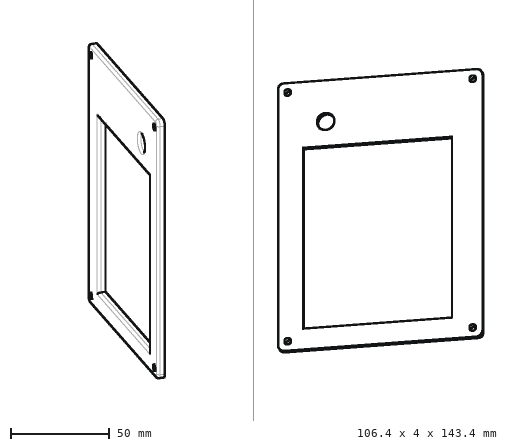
import cadquery as cq

width = 106.4
thickness = 4.0
height = 143.4
corner_radius = 3.0
edge_round = 1.5

window_width = 77.6
window_height = 97.0
window_center_x = 1.5
window_center_z = -12.0

screw_hole_diameter = 3.5
screw_hole_margin = 5.0

button_hole_diameter = 9.0
button_hole_x = 28.4
button_hole_z = 49.6

front_y = -thickness / 2


def front_plane():
    """Sketch plane on the front face, with local x, y along X, Z."""
    return cq.Workplane("XZ", origin=(0, front_y, 0))


def make_plate():
    plate = front_plane().rect(width, height).extrude(-thickness)
    return plate.edges("|Y").fillet(corner_radius)


def make_window():
    window = front_plane().center(window_center_x, window_center_z)
    return window.rect(window_width, window_height).extrude(-thickness)


def make_button_hole():
    hole = front_plane().center(button_hole_x, button_hole_z)
    return hole.circle(button_hole_diameter / 2).extrude(-thickness)


def make_screw_holes():
    spacing_x = width - 2 * screw_hole_margin
    spacing_z = height - 2 * screw_hole_margin
    centers = front_plane().rect(spacing_x, spacing_z, forConstruction=True).vertices()
    return centers.circle(screw_hole_diameter / 2).extrude(-thickness)


frame = make_plate().cut(make_window()).cut(make_button_hole())
frame = frame.faces("<Y").edges().fillet(edge_round)
result = frame.cut(make_screw_holes())